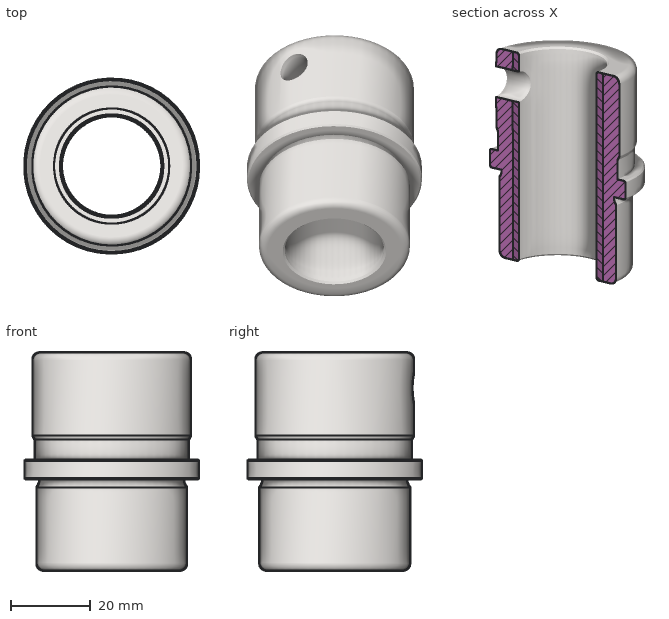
import cadquery as cq

total_length = 55.0

bore_diameter = 25.0
liner_diameter = 29.0
bore_chamfer = 0.5

flange_diameter = 44.0
head_diameter = 40.0
neck_diameter = 38.9
shank_diameter = 38.0
undercut_depth = 0.75

flange_bottom = 23.0
flange_thickness = 5.0
neck_length = 5.0
flange_top = flange_bottom + flange_thickness
neck_top = flange_top + neck_length
head_chamfer_height = 1.05
undercut_height = 2.0

end_fillet = 2.0
flange_chamfer = 0.4

hole_diameter = 8.0
hole_drop = 9.0
hole_height = total_length - hole_drop


def sleeve_blank():
    """Solid of revolution with a flange, a neck, a shank undercut and rounded ends."""
    shank_radius = shank_diameter / 2
    head_radius = head_diameter / 2
    neck_radius = neck_diameter / 2
    flange_radius = flange_diameter / 2
    undercut_radius = shank_radius - undercut_depth
    undercut_arc = (undercut_height**2 + undercut_depth**2) / (2 * undercut_depth)
    profile = (
        cq.Workplane("XZ")
        .lineTo(shank_radius - end_fillet, 0)
        .radiusArc((shank_radius, end_fillet), -end_fillet)
        .lineTo(shank_radius, flange_bottom - undercut_height)
        .radiusArc((undercut_radius, flange_bottom), undercut_arc)
        .lineTo(flange_radius - flange_chamfer, flange_bottom)
        .lineTo(flange_radius, flange_bottom + flange_chamfer)
        .lineTo(flange_radius, flange_top - flange_chamfer)
        .lineTo(flange_radius - flange_chamfer, flange_top)
        .lineTo(neck_radius, flange_top)
        .lineTo(neck_radius, neck_top)
        .lineTo(head_radius, neck_top + head_chamfer_height)
        .lineTo(head_radius, total_length - end_fillet)
        .radiusArc((head_radius - end_fillet, total_length), -end_fillet)
        .lineTo(0, total_length)
        .close()
    )
    return profile.revolve(360, (0, 0, 0), (0, 1, 0))


def oil_hole():
    """Cutter for the radial hole, running from the axis out through the +Y wall."""
    return (
        cq.Workplane("XZ", origin=(0, 0, hole_height))
        .circle(hole_diameter / 2)
        .extrude(-flange_diameter / 2)
    )


def make_sleeve():
    """Flanged outer sleeve, bored to receive the liner."""
    liner_seat = cq.Workplane("XY").circle(liner_diameter / 2).extrude(total_length)
    return sleeve_blank().cut(liner_seat).cut(oil_hole())


def make_liner():
    """Full-length bearing liner with chamfered bore edges."""
    tube = (
        cq.Workplane("XY")
        .circle(liner_diameter / 2)
        .circle(bore_diameter / 2)
        .extrude(total_length)
    )
    bore_edges = cq.selectors.RadiusNthSelector(0)
    return tube.faces("<Z or >Z").edges(bore_edges).chamfer(bore_chamfer).cut(oil_hole())


sleeve = make_sleeve()
liner = make_liner()
result = cq.Compound.makeCompound([sleeve.val(), liner.val()])